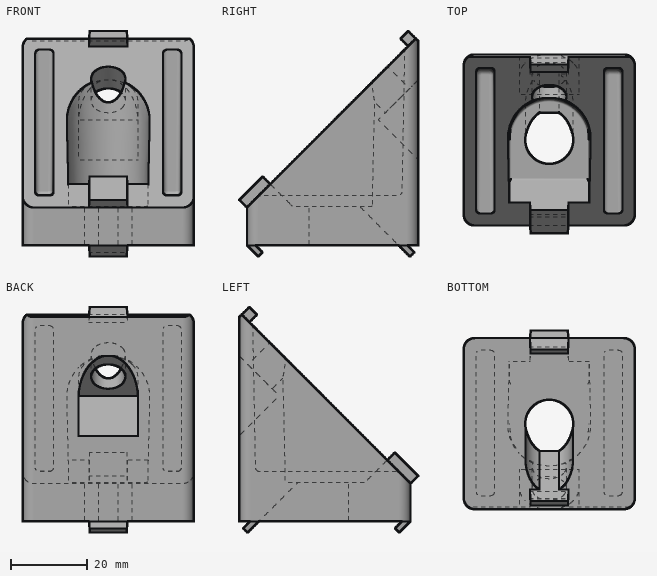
import cadquery as cq
import math

width = 45.0
depth = 45.0
front_height = 9.95
corner_radius = 2.95
ridge_chamfer = 0.65
ridge_y = depth - ridge_chamfer
ridge_z = front_height + ridge_y

pocket_center_y = 22.6
pocket_floor_z = 10.2
pocket_radius = 10.35
pocket_draft = 1.3
pocket_end_sum = 22.2
pocket_floor_fillet = 0.5
pocket_end_fillet = 0.95

peg_width = 10.2
peg_side_inset = 0.25
upper_peg_overhang = 2.0
lower_peg_drop = 2.95
front_peg_run = (pocket_end_sum - front_height) / 2
rear_peg_run = 2.0
lower_peg_run = 2.3
lower_peg_pitch = 39.8

floor_hole_radius = 6.3
floor_hole_y = 22.5
passage_axis_y = 21.5
passage_top_sum = lower_peg_pitch

screw_hole_radius = 4.5
screw_hole_y = 33.8
screw_web = 8.1
recess_radius = 7.75
recess_end = 7.1

slot_offset = 16.75
slot_width = 4.85
slot_front_y = 2.5
slot_back_y = 41.4
slot_back_lean = 0.7
slot_floor_z = 13.1
slot_side_draft = 0.7
slot_fillet = 1.1
slot_rise = 5.9

reach = 2 * (depth + front_height)


def slope_z(y):
    """Height of the sloping face at depth y."""
    return front_height + y


def side_prism(points, half_width):
    """Prism across X from an outline of (y, z) points."""
    return cq.Workplane("YZ").polyline(points).close().extrude(half_width, both=True)


def slope_plane(y):
    """Plane on the slope; local y runs up the slope, the normal points outwards."""
    return cq.Plane(origin=(0, y, slope_z(y)), xDir=(1, 0, 0), normal=(0, -1, 1))


def make_body():
    outline = [
        (0, 0),
        (depth, 0),
        (depth, ridge_z - ridge_chamfer),
        (ridge_y, ridge_z),
        (0, front_height),
    ]
    block = cq.Workplane("XY").box(width, depth, reach, centered=(True, False, False))
    block = block.edges("|Z").fillet(corner_radius)
    return block.intersect(side_prism(outline, width))


def make_peg(root_y, root_z, length, thickness):
    """Tapered peg rising from its lower root edge; a positive length points down and back."""
    plane = cq.Plane(origin=(0, root_y, root_z), xDir=(1, 0, 0), normal=(0, 1, 1))
    root = peg_width / 2
    tip = root - peg_side_inset
    outline = [(-root, 0), (root, 0), (tip, length), (-tip, length)]
    return cq.Workplane(plane).polyline(outline).close().extrude(thickness)


def make_pegs():
    diagonal = math.sqrt(2)
    upper_length = -upper_peg_overhang * diagonal
    lower_length = lower_peg_drop * diagonal
    lower_thickness = lower_peg_run / diagonal
    rear_root_y = ridge_y - rear_peg_run
    pegs = make_peg(0, front_height, upper_length, front_peg_run * diagonal)
    pegs = pegs.union(make_peg(rear_root_y, slope_z(rear_root_y), upper_length, rear_peg_run * diagonal))
    for y in (0, lower_peg_pitch):
        pegs = pegs.union(make_peg(y, 0, lower_length, lower_thickness))
    return pegs


def make_pocket():
    outline = (
        cq.Workplane("XY", origin=(0, pocket_center_y, pocket_floor_z))
        .moveTo(-pocket_radius, -pocket_center_y)
        .lineTo(pocket_radius, -pocket_center_y)
        .lineTo(pocket_radius, 0)
        .threePointArc((0, pocket_radius), (-pocket_radius, 0))
        .close()
    )
    cavity = outline.extrude(depth, taper=-pocket_draft).faces("<Z").edges().fillet(pocket_floor_fillet)
    end_y = pocket_end_sum - pocket_floor_z
    behind_end = [
        (end_y, pocket_floor_z),
        (end_y - reach, pocket_floor_z + reach),
        (reach, pocket_floor_z + reach),
        (reach, pocket_floor_z),
    ]
    end_edge = cq.selectors.NearestToPointSelector((0, end_y, pocket_floor_z))
    return cavity.intersect(side_prism(behind_end, width).edges(end_edge).fillet(pocket_end_fillet))


def make_floor_hole():
    axis_exit_y = passage_axis_y + pocket_floor_z
    upright = (
        cq.Workplane("XY", origin=(0, floor_hole_y, 0))
        .circle(floor_hole_radius)
        .extrude(pocket_floor_z)
    )
    flat_side = [(floor_hole_y, 0), (axis_exit_y, 0), (floor_hole_y, axis_exit_y - floor_hole_y)]
    between = side_prism(flat_side, floor_hole_radius)
    passage_plane = cq.Plane(origin=(0, axis_exit_y, 0), xDir=(1, 0, 0), normal=(0, -1, 1))
    passage = cq.Workplane(passage_plane).circle(floor_hole_radius).extrude(reach, both=True)
    passage_limits = [
        (floor_hole_y, 0),
        (passage_top_sum, 0),
        (passage_top_sum - pocket_floor_z, pocket_floor_z),
        (floor_hole_y, pocket_floor_z),
    ]
    passage = passage.intersect(side_prism(passage_limits, width))
    return upright.union(between).union(passage)


def make_screw_hole():
    plane = slope_plane(screw_hole_y)
    hole = cq.Workplane(plane).circle(screw_hole_radius).extrude(-reach)
    recess = (
        cq.Workplane(plane)
        .workplane(offset=-screw_web)
        .moveTo(-recess_radius, -recess_end)
        .lineTo(recess_radius, -recess_end)
        .lineTo(recess_radius, 0)
        .threePointArc((0, recess_radius), (-recess_radius, 0))
        .close()
        .extrude(-reach)
    )
    return hole.union(recess)


def make_slot(center_x):
    mouth_width = slot_width + 2 * slot_rise * math.tan(math.radians(slot_side_draft))
    wedge = (
        cq.Workplane(slope_plane(depth / 2))
        .workplane(offset=slot_rise)
        .center(center_x, 0)
        .rect(mouth_width, reach)
        .extrude(-depth, taper=slot_side_draft)
    )
    profile = [
        (slot_front_y, slot_floor_z),
        (slot_back_y - slot_back_lean, slot_floor_z),
        (slot_back_y, slope_z(slot_back_y)),
        (slot_front_y, slope_z(slot_front_y) + slot_rise),
    ]
    slot = wedge.intersect(side_prism(profile, width))
    upright_edges = slot.faces(">Y or <Y").edges("not(|X)")
    slot = slot.newObject(upright_edges.vals()).fillet(slot_fillet)
    return slot.faces("<Z").edges().fillet(slot_fillet)


result = make_body().union(make_pegs())
result = result.cut(make_pocket()).cut(make_floor_hole()).cut(make_screw_hole())
for side in (-1, 1):
    result = result.cut(make_slot(side * slot_offset))